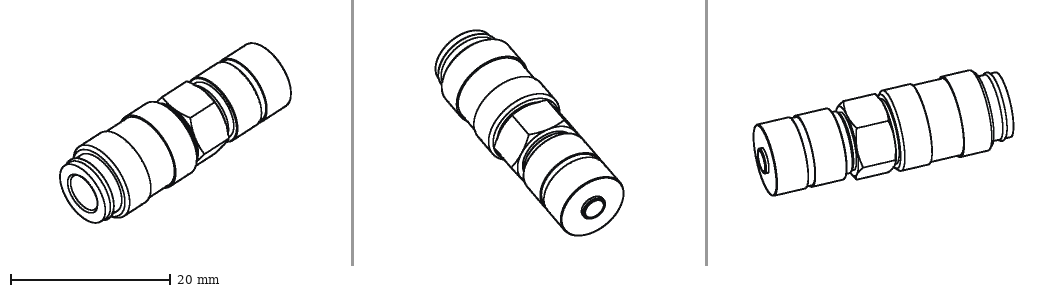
import cadquery as cq
import math

LENGTH = 32.0

SPIGOT_RADIUS = 4.2
RING_Y = 1.15
RING_RADIUS = 4.4
RING_SECTION_RADIUS = 0.3

BODY_DIAMETER = 10.4
BODY_RADIUS = BODY_DIAMETER / 2
BODY_START = 2.8
BODY_END = 15.17
BODY_CHAMFER = 0.4
WAIST_RADIUS = 4.95
WAIST_START = 6.88
WAIST_END = 11.15

HEX_START = 15.65
HEX_END = 20.67
HEX_SIDES = 6
HEX_ACROSS_FLATS = 9.0
HEX_CHAMFER_ANGLE = 30.0

NECK_RADIUS = 3.75
COLLAR_RADIUS = 4.0
COLLAR_START = 21.05
COLLAR_CHAMFER = COLLAR_RADIUS - NECK_RADIUS

SLEEVE_RADIUS = 4.6
SLEEVE_START = 22.2
SLEEVE_END = 31.55
SLEEVE_CHAMFER = 0.1
GROOVE_RADIUS = 4.4
GROOVE_START = 26.4
GROOVE_END = 27.33
TUBE_RADIUS = 1.63
TUBE_CHAMFER = 0.1

COUNTERBORE_RADIUS = 2.5
COUNTERBORE_DEPTH = BODY_END
MOUTH_CHAMFER = 0.25
BORE_RADIUS = 1.35


def cylinder(radius, start, end):
    """Solid cylinder on the Y axis between two stations."""
    return cq.Workplane("XZ", origin=(0, start, 0)).circle(radius).extrude(start - end)


def band(radius, start, end):
    """Ring-shaped cutter that turns the part down to the given radius."""
    return cylinder(BODY_RADIUS, start, end).cut(cylinder(radius, start, end))


def revolve_profile(points):
    """Revolve a closed (radius, y) outline about the Y axis."""
    return cq.Workplane("XY").polyline(points).close().revolve(360, (0, 0, 0), (0, 1, 0))


def make_spigot():
    spigot = cylinder(SPIGOT_RADIUS, 0, HEX_START)
    ring = (
        cq.Workplane("XY")
        .moveTo(RING_RADIUS - RING_SECTION_RADIUS, RING_Y)
        .circle(RING_SECTION_RADIUS)
        .revolve(360, (0, 0, 0), (0, 1, 0))
    )
    return spigot.union(ring)


def make_body():
    body = cylinder(BODY_RADIUS, BODY_START, BODY_END).faces("<Y or >Y").chamfer(BODY_CHAMFER)
    return body.cut(band(WAIST_RADIUS, WAIST_START, WAIST_END))


def make_nut():
    flat_radius = HEX_ACROSS_FLATS / 2
    corner_radius = flat_radius / math.cos(math.pi / HEX_SIDES)
    prism = (
        cq.Workplane("XZ", origin=(0, HEX_START, 0))
        .polygon(HEX_SIDES, 2 * corner_radius)
        .extrude(HEX_START - HEX_END)
    )
    drop = (corner_radius - flat_radius) * math.tan(math.radians(HEX_CHAMFER_ANGLE))
    envelope = revolve_profile([
        (0, HEX_START),
        (flat_radius, HEX_START),
        (corner_radius, HEX_START + drop),
        (corner_radius, HEX_END - drop),
        (flat_radius, HEX_END),
        (0, HEX_END),
    ])
    return prism.intersect(envelope)


def make_neck():
    neck = cylinder(NECK_RADIUS, HEX_END, SLEEVE_START)
    collar = revolve_profile([
        (0, COLLAR_START),
        (NECK_RADIUS, COLLAR_START),
        (COLLAR_RADIUS, COLLAR_START + COLLAR_CHAMFER),
        (COLLAR_RADIUS, SLEEVE_START),
        (0, SLEEVE_START),
    ])
    return neck.union(collar)


def make_sleeve():
    sleeve = cylinder(SLEEVE_RADIUS, SLEEVE_START, SLEEVE_END).faces("<Y or >Y").chamfer(SLEEVE_CHAMFER)
    sleeve = sleeve.cut(band(GROOVE_RADIUS, GROOVE_START, GROOVE_END))
    tube = cylinder(TUBE_RADIUS, SLEEVE_END, LENGTH).faces(">Y").chamfer(TUBE_CHAMFER)
    return sleeve.union(tube)


def make_bore():
    mouth_radius = COUNTERBORE_RADIUS + MOUTH_CHAMFER
    return revolve_profile([
        (0, 0),
        (mouth_radius, 0),
        (COUNTERBORE_RADIUS, MOUTH_CHAMFER),
        (COUNTERBORE_RADIUS, COUNTERBORE_DEPTH),
        (BORE_RADIUS, COUNTERBORE_DEPTH),
        (BORE_RADIUS, LENGTH),
        (0, LENGTH),
    ])


result = make_spigot()
for section in (make_body(), make_nut(), make_neck(), make_sleeve()):
    result = result.union(section)
result = result.cut(make_bore())